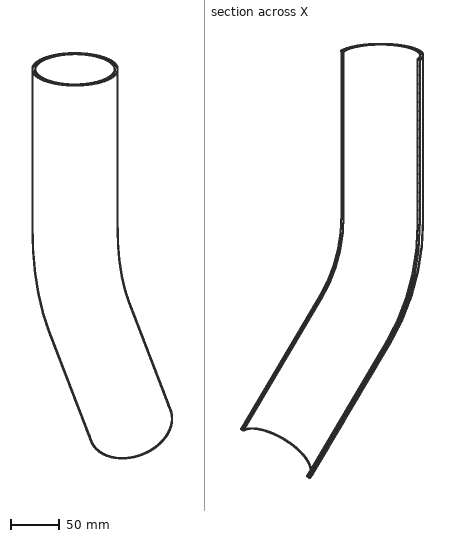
import cadquery as cq
import math

overall_height = 465.0
outer_diameter = 89.0
inner_diameter = 83.0
bend_angle = 30.0
bend_radius = 2.5 * outer_diameter

sine = math.sin(math.radians(bend_angle))
cosine = math.cos(math.radians(bend_angle))
bend_height = bend_radius * sine
end_tilt_height = outer_diameter / 2 * sine
leg_length = (overall_height - bend_height - end_tilt_height) / (1 + cosine)


def pipe_ring(workplane):
    """Draw the annular pipe section on a workplane."""
    return workplane.circle(outer_diameter / 2).circle(inner_diameter / 2)


upper_leg = pipe_ring(cq.Workplane("XY")).extrude(leg_length)

elbow = pipe_ring(cq.Workplane("XY")).revolve(
    bend_angle, (0, bend_radius, 0), (1, bend_radius, 0)
)

elbow_end = (0, bend_radius * (1 - cosine), -bend_height)
leg_direction = (0, sine, -cosine)
lower_plane = cq.Plane(origin=elbow_end, xDir=(1, 0, 0), normal=leg_direction)
lower_leg = pipe_ring(cq.Workplane(lower_plane)).extrude(leg_length)

result = upper_leg.union(elbow).union(lower_leg)